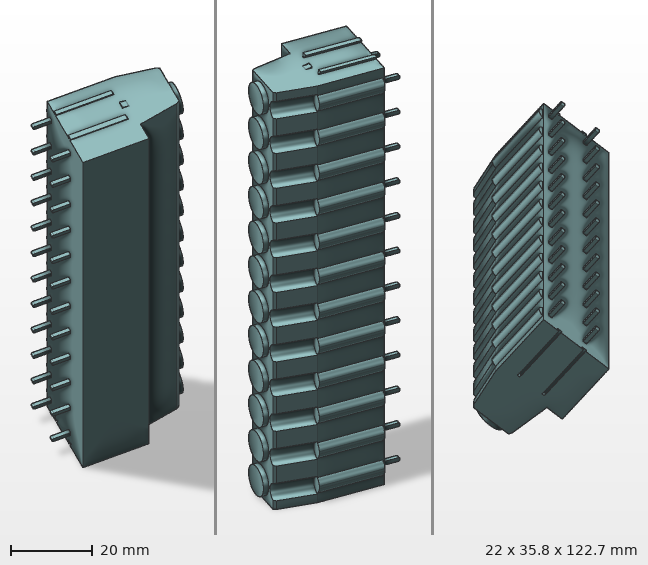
import cadquery as cq
import math

POLES = 12
LENGTH = 121.8
PITCH = LENGTH / POLES

BODY_WIDTH = 20.9
BODY_HEIGHT = 29.3
SHOULDER_LEFT = 18.3
SHOULDER_RIGHT = 17.8
TOWER_BASE_RIGHT = 16.0
TOWER_TOP_LEFT = 2.0
TOWER_TOP_RIGHT = 13.6
EDGE_DROP = 0.7
EDGE_RUN = 0.2

SCREW_DIAMETER = 8.2
SCREW_HEIGHT = 1.5
SCREW_X = 8.6

SCALLOP_WIDTH = PITCH / 2
SCALLOP_DEPTH = 2.0

RIDGE_WIDTH = 4.5
RIDGE_HEIGHT = 1.1
RIDGE_CREST = 0.7
RIDGE_BOTTOM = 0.4

PIN_WIDTH = 1.1
PIN_LENGTH = 5.0
PIN_TIP_RADIUS = 0.5
PIN_XS = (2.1, 13.1)

RIB_HEIGHT = 0.9
GROOVE_DEPTH = 1.0
JOINT_TOP = 15.7
JOINT_END_RUN = 0.4
NECK_TO_HEAD = 0.4
RIBS = ((4.7, 1.2), (13.0, 1.5))
GROOVES = ((5.2, 1.5), (13.0, 1.5))

WEDGE_X = 8.7
WEDGE_WIDTH = 1.8
WEDGE_BOTTOM = 15.8
WEDGE_TOP = 17.5
WEDGE_HEIGHT = 0.4


def pole_centres():
    return [(i + 0.5) * PITCH for i in range(POLES)]


def make_body():
    return (
        cq.Workplane("XY")
        .moveTo(0, 0)
        .lineTo(BODY_WIDTH, 0)
        .lineTo(BODY_WIDTH, SHOULDER_RIGHT)
        .lineTo(TOWER_BASE_RIGHT, SHOULDER_RIGHT)
        .lineTo(TOWER_TOP_RIGHT + EDGE_RUN, BODY_HEIGHT - EDGE_DROP)
        .lineTo(TOWER_TOP_RIGHT - EDGE_RUN, BODY_HEIGHT)
        .lineTo(TOWER_TOP_LEFT + EDGE_RUN, BODY_HEIGHT)
        .lineTo(TOWER_TOP_LEFT - EDGE_RUN, BODY_HEIGHT - EDGE_DROP)
        .lineTo(0, SHOULDER_LEFT)
        .close()
        .extrude(LENGTH)
    )


def make_scallop(z):
    """Round cutter lying along the left slope, starting at the shoulder."""
    radius = ((SCALLOP_WIDTH / 2) ** 2 + SCALLOP_DEPTH**2) / (2 * SCALLOP_DEPTH)
    slope_run = TOWER_TOP_LEFT - EDGE_RUN
    slope_rise = BODY_HEIGHT - EDGE_DROP - SHOULDER_LEFT
    slope = cq.Vector(slope_run, slope_rise, 0).normalized()
    outward = cq.Vector(-slope.y, slope.x, 0)
    overshoot = BODY_HEIGHT
    start = cq.Vector(0, SHOULDER_LEFT, z) + outward * (radius - SCALLOP_DEPTH) - slope * overshoot
    cutter = cq.Workplane(cq.Solid.makeCylinder(radius, 2 * overshoot, start, slope))
    above_shoulder = cq.Workplane("XY").box(
        BODY_WIDTH, BODY_HEIGHT, PITCH, centered=(True, False, True)
    )
    return cutter.intersect(above_shoulder.translate((0, SHOULDER_LEFT, z)))


def make_ridge(z):
    """Crowned ridge: two arcs of one circle joined by a flat crest."""
    half_base = RIDGE_WIDTH / 2
    half_crest = RIDGE_CREST / 2
    centre_x = (half_base**2 - half_crest**2 - RIDGE_HEIGHT**2) / (2 * RIDGE_HEIGHT)
    radius = math.hypot(half_base, centre_x)
    base_angle = math.atan2(half_base, centre_x)
    crest_angle = math.atan2(half_crest, centre_x + RIDGE_HEIGHT)
    mid_angle = (base_angle + crest_angle) / 2
    mid_x = centre_x - radius * math.cos(mid_angle)
    mid_z = radius * math.sin(mid_angle)
    return (
        cq.Workplane("XZ")
        .moveTo(0, -half_base)
        .threePointArc((mid_x, -mid_z), (-RIDGE_HEIGHT, -half_crest))
        .lineTo(-RIDGE_HEIGHT, half_crest)
        .threePointArc((mid_x, mid_z), (0, half_base))
        .lineTo(half_base, half_base)
        .lineTo(half_base, -half_base)
        .close()
        .extrude(-(SHOULDER_LEFT - RIDGE_BOTTOM))
        .translate((0, RIDGE_BOTTOM, z))
    )


def make_pin(x, z):
    return (
        cq.Workplane("XZ")
        .rect(PIN_WIDTH, PIN_WIDTH)
        .extrude(PIN_LENGTH)
        .faces("<Y")
        .edges("|X")
        .fillet(PIN_TIP_RADIUS)
        .translate((x, 0, z))
    )


def make_screw(z):
    return (
        cq.Workplane("XZ")
        .circle(SCREW_DIAMETER / 2)
        .extrude(-SCREW_HEIGHT)
        .translate((SCREW_X, BODY_HEIGHT, z))
    )


def make_dovetail(x, head_width, height, base_z):
    """Bar widening upward from base_z, with a sloped end toward +Y."""
    half_head = head_width / 2
    half_neck = half_head * NECK_TO_HEAD
    bar = (
        cq.Workplane("XZ")
        .polyline([
            (-half_neck, 0),
            (half_neck, 0),
            (half_head, height),
            (-half_head, height),
        ])
        .close()
        .extrude(-JOINT_TOP)
    )
    end_slope = (
        cq.Workplane("YZ")
        .polyline([
            (JOINT_TOP, 0),
            (JOINT_TOP, height),
            (JOINT_TOP - JOINT_END_RUN, height),
        ])
        .close()
        .extrude(half_head, both=True)
    )
    return bar.cut(end_slope).translate((x, 0, base_z))


def make_wedge():
    return (
        cq.Workplane("YZ")
        .polyline([
            (WEDGE_BOTTOM, 0),
            (WEDGE_TOP, 0),
            (WEDGE_BOTTOM, WEDGE_HEIGHT),
        ])
        .close()
        .extrude(WEDGE_WIDTH / 2, both=True)
        .translate((WEDGE_X, 0, LENGTH))
    )


result = make_body()

for pole_z in pole_centres():
    result = result.cut(make_scallop(pole_z))
    result = result.union(make_ridge(pole_z))
    result = result.union(make_screw(pole_z))
    for pin_x in PIN_XS:
        result = result.union(make_pin(pin_x, pole_z))

for rib_x, rib_width in RIBS:
    result = result.union(make_dovetail(rib_x, rib_width, RIB_HEIGHT, LENGTH))

for groove_x, groove_width in GROOVES:
    result = result.cut(make_dovetail(groove_x, groove_width, GROOVE_DEPTH, 0))

result = result.union(make_wedge())